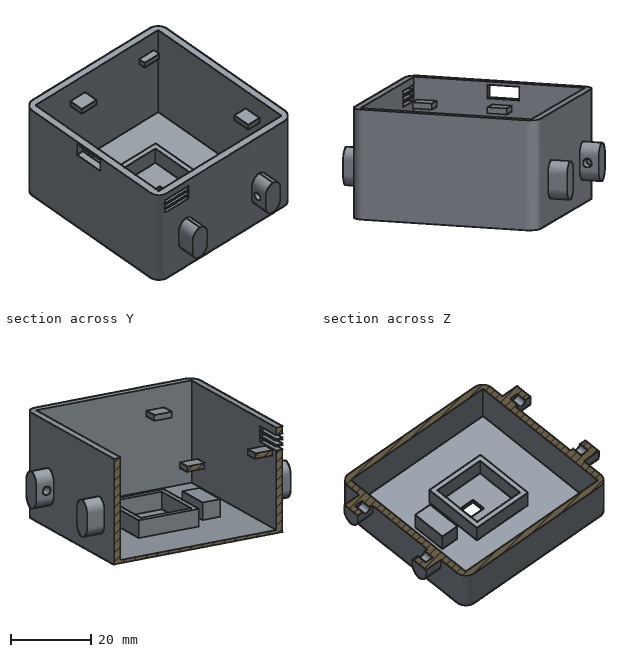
import cadquery as cq

BOX_X = 48.95
BOX_Y = 46.0
BOX_Z = 28.0
CORNER_RADIUS = 3.0
WALL = 2.0
FLOOR = 1.0
INNER_X = BOX_X - 2 * WALL
INNER_Y = BOX_Y - 2 * WALL

LUG_LENGTH = 5.0
LUG_WIDTH = 5.0
LUG_CENTER_Z = 11.05
LUG_FLAT_HEIGHT = 3.95
LUG_ARC_RADIUS = 3.0
LUG_SPACING = 25.0
LUG_PAIR_Y = -1.0
PIN_DIAMETER = 2.25
PIN_DEPTH = 2.95
PIN_OFFSET = 2.0

SOCKET_OUTER = 17.4
SOCKET_INNER = 14.6
SOCKET_X = -1.55
SOCKET_Y = -0.05
WINDOW_X = 1.55
WINDOW_LENGTH = 6.0
WINDOW_WIDTH = 3.95

BLOCK_X = 12.9
BLOCK_LENGTH = 5.1
BLOCK_WIDTH = 10.0
FLOOR_FEATURE_TOP = 5.65

TAB_TOP = 22.3
TAB_THICKNESS = 1.55
TAB_WIDTH = 5.1
TAB_REACH = 3.9
REAR_TAB_X = 12.0
FRONT_TABS_X = (-0.7, 19.0)
LEFT_TABS = ((17.0, 2.0), (-6.55, 4.15))

PORT_X = -1.0
PORT_WIDTH = 8.4
PORT_HEIGHT = 3.5
PORT_BOTTOM = 23.7

VENT_COUNT = 3
VENT_PITCH = 1.55
VENT_HEIGHT = 1.0
VENT_LENGTH = 8.0
VENT_TOP = 26.0
VENT_Y = -16.65


def block(size_x, size_y, size_z, center_x, center_y, bottom):
    """Box placed by its centre in X and Y and by its bottom face."""
    return (
        cq.Workplane("XY")
        .box(size_x, size_y, size_z, centered=(True, True, False))
        .translate((center_x, center_y, bottom))
    )


def box_shell():
    outer = block(BOX_X, BOX_Y, BOX_Z, 0, 0, 0).edges("|Z").fillet(CORNER_RADIUS)
    return outer.cut(block(INNER_X, INNER_Y, BOX_Z, 0, 0, FLOOR))


def lug(side, end):
    """One lug: side is its X direction, end is +1 for the rear lug and -1 for the front one."""
    half_width = LUG_WIDTH / 2
    half_flat = LUG_FLAT_HEIGHT / 2
    ridge = half_flat + (LUG_ARC_RADIUS**2 - (LUG_ARC_RADIUS - half_width) ** 2) ** 0.5
    center_y = LUG_PAIR_Y + end * LUG_SPACING / 2
    profile = (
        cq.Workplane("YZ")
        .moveTo(half_width, -half_flat)
        .lineTo(half_width, half_flat)
        .radiusArc((0, ridge), -LUG_ARC_RADIUS)
        .radiusArc((-half_width, half_flat), -LUG_ARC_RADIUS)
        .lineTo(-half_width, -half_flat)
        .radiusArc((0, -ridge), -LUG_ARC_RADIUS)
        .radiusArc((half_width, -half_flat), -LUG_ARC_RADIUS)
        .close()
    )
    root = WALL / 2
    body = profile.extrude(side * (LUG_LENGTH + root))
    body = body.translate((side * (BOX_X / 2 - root), center_y, LUG_CENTER_Z))
    inner_face = cq.Vector(side * (BOX_X / 2 + PIN_OFFSET), center_y - end * half_width, LUG_CENTER_Z)
    pin_hole = cq.Solid.makeCylinder(PIN_DIAMETER / 2, PIN_DEPTH, inner_face, cq.Vector(0, end, 0))
    return body.cut(cq.Workplane(pin_hole))


def floor_features():
    height = FLOOR_FEATURE_TOP - FLOOR
    socket = block(SOCKET_OUTER, SOCKET_OUTER, height, SOCKET_X, SOCKET_Y, FLOOR)
    socket = socket.cut(block(SOCKET_INNER, SOCKET_INNER, height, SOCKET_X, SOCKET_Y, FLOOR))
    return socket.union(block(BLOCK_LENGTH, BLOCK_WIDTH, height, BLOCK_X, SOCKET_Y, FLOOR))


def tabs():
    bottom = TAB_TOP - TAB_THICKNESS
    tab_y = (INNER_Y - TAB_REACH) / 2
    ledges = block(TAB_WIDTH, TAB_REACH, TAB_THICKNESS, REAR_TAB_X, tab_y, bottom)
    for x in FRONT_TABS_X:
        ledges = ledges.union(block(TAB_WIDTH, TAB_REACH, TAB_THICKNESS, x, -tab_y, bottom))
    for y, reach in LEFT_TABS:
        tab_x = -(INNER_X - reach) / 2
        ledges = ledges.union(block(reach, TAB_WIDTH, TAB_THICKNESS, tab_x, y, bottom))
    return ledges


def window():
    return block(WINDOW_LENGTH, WINDOW_WIDTH, FLOOR, WINDOW_X, SOCKET_Y, 0)


def port():
    return block(PORT_WIDTH, WALL, PORT_HEIGHT, PORT_X, -(BOX_Y - WALL) / 2, PORT_BOTTOM)


def vents():
    vent_x = (BOX_X - WALL) / 2
    slots = cq.Workplane("XY")
    for i in range(VENT_COUNT):
        bottom = VENT_TOP - VENT_HEIGHT - i * VENT_PITCH
        slots = slots.add(block(WALL, VENT_LENGTH, VENT_HEIGHT, vent_x, VENT_Y, bottom))
    return slots.combine()


result = box_shell().union(floor_features()).union(tabs())
for x_side in (-1, 1):
    for y_end in (-1, 1):
        result = result.union(lug(x_side, y_end))
result = result.cut(window()).cut(port()).cut(vents())